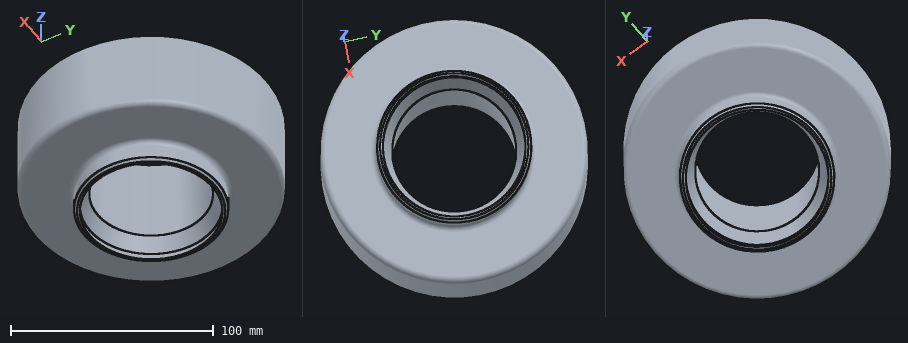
import cadquery as cq
import math

ring_diameter = 133.0
ring_height = 46.7
ring_edge_radius = 3.0
hub_diameter = 76.1
hub_height = 70.0
hub_edge_chamfer = 1.5
neck_fillet_radius = 2.9
bore_diameter = 61.0
mouth_diameter = 70.4
lip_depth = 3.5
taper_angle = 30

ring_radius = ring_diameter / 2
hub_radius = hub_diameter / 2
bore_radius = bore_diameter / 2
mouth_radius = mouth_diameter / 2
half_height = hub_height / 2
taper_depth = (mouth_radius - bore_radius) / math.tan(math.radians(taper_angle))


def make_ring():
    """Wide central ring with rounded outer edges."""
    ring = cq.Workplane("XY").cylinder(ring_height, ring_radius)
    return ring.faces("|Z").edges().fillet(ring_edge_radius)


def make_hub():
    """Narrow hub, projecting equally above and below the ring."""
    hub = cq.Workplane("XY").cylinder(hub_height, hub_radius)
    return hub.faces("|Z").edges().chamfer(hub_edge_chamfer)


def fillet_necks(body):
    """Round the inside corners where the hub leaves the ring faces."""
    ring_faces = body.faces("|Z").faces("(not <Z) and (not >Z)")
    neck_corners = ring_faces.edges(cq.selectors.RadiusNthSelector(0))
    return neck_corners.fillet(neck_fillet_radius)


def make_bore():
    """Through bore with a straight lip and a taper at each end."""
    lip_z = half_height - lip_depth
    taper_z = lip_z - taper_depth
    profile = [
        (0, -half_height),
        (mouth_radius, -half_height),
        (mouth_radius, -lip_z),
        (bore_radius, -taper_z),
        (bore_radius, taper_z),
        (mouth_radius, lip_z),
        (mouth_radius, half_height),
        (0, half_height),
    ]
    return cq.Workplane("XZ").polyline(profile).close().revolve(360, (0, 0), (0, 1))


body = fillet_necks(make_ring().union(make_hub()))
result = body.cut(make_bore())